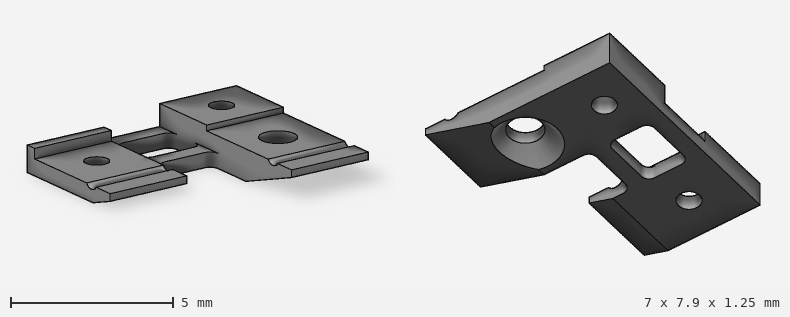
import cadquery as cq

total_width = 7.9
block_width = 2.9
gap_width = total_width - 2 * block_width
hole_diameter = 0.8

rear_length = 7.0
rear_height = 1.25
rear_deck_height = 1.06
rear_step_length = 2.5
rear_hole_x = 1.25
rear_large_hole_x = 4.25
rear_large_hole_diameter = 1.2
countersink_height = 0.61

front_length = 4.4
front_height = 0.9
front_deck_height = 0.55
front_step_length = 0.395
front_hole_x = 1.65

tip_thickness = 0.25
slope_run_per_rise = 3.0
groove_to_tip = 0.995
groove_radius = 0.3
groove_depth = 0.135

bridge_height = 0.5
bar_width = 0.6
bridge_length = 2.805
corner_radius = 0.3

front_block_y = block_width / 2
rear_block_y = total_width - block_width / 2
bridge_y = total_width / 2


def clamp_block(center_y, length, height, deck_height, step_length):
    """Stepped block with a sloped nose, extruded across Y."""
    tip_bottom = deck_height - tip_thickness
    slope_start = length - tip_bottom * slope_run_per_rise
    profile = [
        (0, 0),
        (slope_start, 0),
        (length, tip_bottom),
        (length, deck_height),
        (step_length, deck_height),
        (step_length, height),
        (0, height),
    ]
    side_plane = cq.Workplane("XZ", origin=(0, center_y, 0))
    body = side_plane.polyline(profile).close().extrude(block_width / 2, both=True)
    groove = (
        side_plane.center(length - groove_to_tip, deck_height - groove_depth + groove_radius)
        .circle(groove_radius)
        .extrude(block_width / 2, both=True)
    )
    return body.cut(groove)


def through_hole(x, y, diameter):
    """Vertical cylinder that spans the full height of the part."""
    return cq.Workplane("XY").center(x, y).circle(diameter / 2).extrude(rear_height)


def countersink(x, y):
    """Cone that widens from the large hole down to the bottom face."""
    top_radius = rear_large_hole_diameter / 2
    bottom_radius = top_radius + countersink_height
    profile = [(0, 0), (bottom_radius, 0), (top_radius, countersink_height), (0, countersink_height)]
    cone = cq.Workplane("XZ").polyline(profile).close().revolve(360, (0, 0), (0, 1))
    return cone.translate((x, y, 0))


def bridge_opening(start_x, length):
    """Rounded rectangle that fills the gap between the blocks."""
    return (
        cq.Workplane("XY")
        .center(start_x + length / 2, bridge_y)
        .rect(length, gap_width)
        .extrude(bridge_height)
        .edges("|Z")
        .fillet(corner_radius)
    )


def bridge():
    """Two bars between the blocks, with rounded roots at the opening and at the free side."""
    root_length = bridge_length + corner_radius
    bridge_plane = cq.Workplane("XY").center(root_length / 2, bridge_y)
    plate = bridge_plane.rect(root_length, gap_width).extrude(bridge_height)
    window_length = bridge_length - 2 * bar_width
    plate = plate.cut(bridge_opening(bar_width, window_length))
    return plate.cut(bridge_opening(bridge_length, gap_width))


rear_block = clamp_block(rear_block_y, rear_length, rear_height, rear_deck_height, rear_step_length)
front_block = clamp_block(front_block_y, front_length, front_height, front_deck_height, front_step_length)

result = rear_block.union(front_block).union(bridge())
result = result.cut(through_hole(rear_hole_x, rear_block_y, hole_diameter))
result = result.cut(through_hole(rear_large_hole_x, rear_block_y, rear_large_hole_diameter))
result = result.cut(countersink(rear_large_hole_x, rear_block_y))
result = result.cut(through_hole(front_hole_x, front_block_y, hole_diameter))